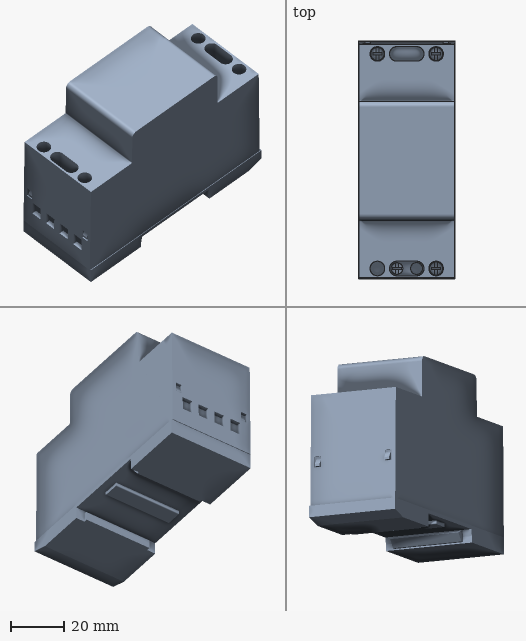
import cadquery as cq

total_length = 89.75
total_height = 65.0
base_width = 36.5
body_width = 36.0
back_end = total_length / 2
front_end = -total_length / 2

base_top = 6.5
base_front_setback = 0.3
base_front = front_end + base_front_setback
base_chamfer_height = 2.1
base_chamfer_length = 6.9
rail_roof = 5.1
rail_back = 17.55
rail_front = -17.7
rail_front_foot = -18.2
rail_front_knee_height = 2.5
rail_part_width = 29.0

stop_length = 1.45
stop_height = 4.0
stop_radius = 0.5

pad_front = -3.2
pad_back = 3.7
pad_height = 1.45
pad_radius = 0.4

hook_tip = (-14.4, 3.6)
hook_toe = (-16.8, 0.5)

shoulder = 49.15
body_back_foot = 44.15
body_back_shoulder = 43.65
body_front_shoulder = -44.3
tower_back = 22.1
tower_front_foot = -22.8
tower_front_top = -22.5
tower_top_radius = 2.1
tower_foot_radius = 0.4

front_row = -40.85
back_row = 40.05
terminal_pitch = 7.38
inner_terminal = terminal_pitch / 2
outer_terminal = 1.5 * terminal_pitch
access_diameter = 5.5
access_slot_length = 13.0
access_depth = 10.0
access_floor = shoulder - access_depth
clamp_hole_diameter = 4.5
clamp_hole_depth = 2.0

screw_head_height = 2.0
outer_screw_diameter = 5.0
inner_screw_diameter = 4.4
long_slot_width = 1.2
long_slot_depth = 0.6
cross_slot_length = 3.4
cross_slot_width = 0.9
cross_slot_depth = 1.6

window_width = 4.4
window_top = 19.6
inner_window_bottom = 14.2
outer_window_bottom = 13.9
window_depth = 2.0

pocket_inner_x = 13.7
pocket_outer_x = 16.4
pocket_bottom = 21.2
pocket_top = 25.3
pocket_depth = 1.5
catch_root = 1.0
catch_outer_x = 15.75
catch_bottom = 21.45
catch_lip_top = 22.4
catch_top = 24.6
front_catch_recess = 0.5
front_catch_tip = front_end + front_catch_recess
back_catch_tip = back_end


def extrude_across(points, width):
    """Extrude a closed (Y, Z) outline symmetrically along X."""
    return cq.Workplane("YZ").polyline(points).close().extrude(width / 2, both=True)


def box_between(x_range, y_range, z_range):
    """Axis-aligned box given by its limits; each pair may come in either order."""
    spans = [(min(pair), max(pair)) for pair in (x_range, y_range, z_range)]
    sizes = [high - low for low, high in spans]
    corner = tuple(low for low, high in spans)
    return cq.Workplane("XY").box(*sizes, centered=False).translate(corner)


def make_base():
    outline = [
        (base_front, base_top),
        (back_end, base_top),
        (back_end, base_chamfer_height),
        (back_end - base_chamfer_length, 0),
        (rail_back, 0),
        (rail_back, rail_roof),
        (rail_front, rail_roof),
        (rail_front_foot, rail_front_knee_height),
        (rail_front_foot, 0),
        (base_front, 0),
    ]
    return extrude_across(outline, base_width)


def make_housing():
    outline = [
        (front_end, base_top),
        (body_front_shoulder, shoulder),
        (tower_front_foot, shoulder),
        (tower_front_top, total_height),
        (tower_back, total_height),
        (tower_back, shoulder),
        (body_back_shoulder, shoulder),
        (body_back_foot, base_top),
    ]
    housing = extrude_across(outline, body_width)
    housing = housing.faces(">Z").edges("|X").fillet(tower_top_radius)
    margin = tower_foot_radius
    step_box = cq.selectors.BoxSelector(
        (-body_width, tower_front_foot - margin, shoulder - margin),
        (body_width, tower_back + margin, shoulder + margin),
    )
    return housing.edges(step_box).edges("|X").fillet(tower_foot_radius)


def make_rail_stop():
    stop = box_between(
        (-rail_part_width / 2, rail_part_width / 2),
        (rail_back - stop_length, rail_back),
        (0, stop_height),
    )
    return stop.edges("|X and >Z and <Y").fillet(stop_radius)


def make_rail_pad():
    pad = box_between(
        (-rail_part_width / 2, rail_part_width / 2),
        (pad_front, pad_back),
        (rail_roof - pad_height, rail_roof),
    )
    return pad.faces("<Z").edges("|X").fillet(pad_radius)


def make_rail_hook():
    outline = [
        (rail_front, rail_roof),
        hook_tip,
        hook_toe,
        (rail_front_foot, hook_toe[1]),
        (rail_front_foot, rail_front_knee_height),
    ]
    return extrude_across(outline, rail_part_width)


def access_cutter(x, y):
    return cq.Workplane("XY", origin=(x, y, access_floor)).circle(access_diameter / 2).extrude(access_depth)


def access_slot_cutter(y):
    slot = cq.Workplane("XY", origin=(0, y, access_floor))
    return slot.slot2D(access_slot_length, access_diameter).extrude(access_depth)


def make_screw_head(x, y, diameter):
    """Screw head on the access floor with two crossing driver slots."""
    head = cq.Workplane("XY", origin=(x, y, access_floor)).circle(diameter / 2).extrude(screw_head_height)
    top = cq.Workplane("XY", origin=(x, y, access_floor + screw_head_height))
    long_slot = top.rect(long_slot_width, diameter).extrude(-long_slot_depth)
    cross_slot = top.rect(cross_slot_length, cross_slot_width).extrude(-cross_slot_depth)
    return head.cut(long_slot).cut(cross_slot)


def cut_terminals(body):
    for y in (front_row, back_row):
        body = body.cut(access_slot_cutter(y))
        for x in (-outer_terminal, outer_terminal):
            body = body.cut(access_cutter(x, y))
    clamp_hole = cq.Workplane("XY", origin=(inner_terminal, front_row, access_floor))
    return body.cut(clamp_hole.circle(clamp_hole_diameter / 2).extrude(-clamp_hole_depth))


def add_screws(body):
    screws = [
        (-outer_terminal, back_row, outer_screw_diameter),
        (outer_terminal, back_row, outer_screw_diameter),
        (outer_terminal, front_row, outer_screw_diameter),
        (-inner_terminal, front_row, inner_screw_diameter),
    ]
    for x, y, diameter in screws:
        body = body.union(make_screw_head(x, y, diameter))
    return body


def cut_windows(body):
    for distance, bottom in ((inner_terminal, inner_window_bottom), (outer_terminal, outer_window_bottom)):
        for x in (-distance, distance):
            window = box_between(
                (x - window_width / 2, x + window_width / 2),
                (front_end, front_end + window_depth),
                (bottom, window_top),
            )
            body = body.cut(window)
    return body


def add_latch(body, side, end, tip):
    """Pocket in one end face, with a catch rooted below its floor, sloping down to the tip."""
    inward = -1 if end > 0 else 1
    floor = end + inward * pocket_depth
    pocket = box_between(
        (side * pocket_inner_x, side * pocket_outer_x),
        (end, floor),
        (pocket_bottom, pocket_top),
    )
    catch_outline = [
        (floor + inward * catch_root, catch_bottom),
        (tip, catch_bottom),
        (tip, catch_lip_top),
        (floor, catch_top),
        (floor + inward * catch_root, catch_top),
    ]
    catch_plane = cq.Workplane("YZ", origin=(side * pocket_inner_x, 0, 0))
    catch = catch_plane.polyline(catch_outline).close().extrude(side * (catch_outer_x - pocket_inner_x))
    return body.cut(pocket).union(catch)


def make_part():
    body = make_housing()
    body = cut_terminals(body)
    body = add_screws(body)
    body = cut_windows(body)
    for side in (-1, 1):
        body = add_latch(body, side, front_end, front_catch_tip)
        body = add_latch(body, side, back_end, back_catch_tip)
    body = body.union(make_base())
    for rail_part in (make_rail_stop(), make_rail_pad(), make_rail_hook()):
        body = body.union(rail_part)
    return body


result = make_part()